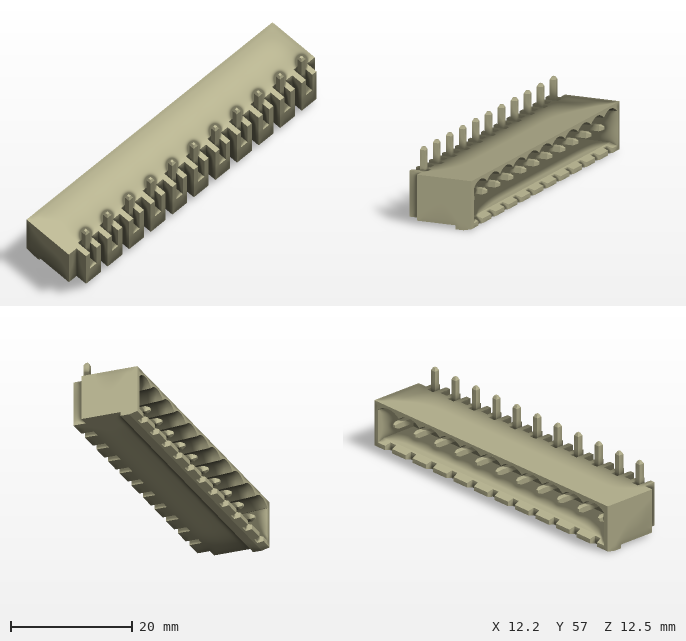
import cadquery as cq

pin_count = 11
body_length = 57.0
pitch = 5.0
body_depth = 10.0
body_height = 7.85
overall_depth = 12.2
pin_positions = [(i - (pin_count - 1) / 2) * pitch for i in range(pin_count)]

foot_depth = 2.95
foot_drop = 0.7
foot_front_drop = 0.35
foot_slope_end = 1.4

pocket_depth = 8.0
end_wall = 0.9
floor_level = 0.9
roof_crown = 7.4
roof_cusp = 6.45
roof_taper = 0.45
lip_depth = 1.35
lip_drop = 0.45

notch_back_width = 1.35
notch_mouth_width = 1.7
notch_depth = 1.0

tooth_width = 3.4
slot_width = 1.5
slot_start = 9.3

pin_width = 0.95
pin_level = 3.95
pin_rise = 3.95
pin_front = 1.2
pin_back = 10.9
front_point_length = 0.7
tail_point_length = 0.5
point_width = 0.45

collar_base_radius = 1.25
collar_top_radius = 0.95
collar_height = 0.55


def box(x_range, y_range, z_range):
    """Block between the given limits."""
    size = [high - low for low, high in (x_range, y_range, z_range)]
    corner = (x_range[0], y_range[0], z_range[0])
    return cq.Workplane("XY").box(*size, centered=False).translate(corner)


def across(center, width):
    """Limits of a width centred on a position."""
    return (center - width / 2, center + width / 2)


def make_shell():
    profile = [
        (0, -foot_front_drop),
        (foot_slope_end, -foot_drop),
        (foot_depth, -foot_drop),
        (foot_depth, 0),
        (body_depth, 0),
        (body_depth, body_height),
        (0, body_height),
    ]
    return (
        cq.Workplane("XZ")
        .polyline(profile)
        .close()
        .extrude(body_length / 2, both=True)
    )


def pocket_outline(depth, roof_shift):
    """Closed pocket section at a depth, its arched roof lowered by roof_shift."""
    half_width = body_length / 2 - end_wall
    crown = roof_crown - roof_shift
    cusp = roof_cusp - roof_shift
    first_cusp = pin_positions[0] - pitch / 2
    outline = (
        cq.Workplane("YZ", origin=(depth, 0, 0))
        .moveTo(-half_width, floor_level)
        .lineTo(-half_width, cusp)
        .lineTo(first_cusp, cusp)
    )
    for y in pin_positions:
        outline = outline.threePointArc((y, crown), (y + pitch / 2, cusp))
    return outline.lineTo(half_width, cusp).lineTo(half_width, floor_level).close()


def make_pocket():
    mouth = pocket_outline(0, 0).val()
    back = pocket_outline(pocket_depth, roof_taper).val()
    return cq.Workplane(cq.Solid.makeLoft([mouth, back], True))


def make_lip_bevel():
    profile = [(0, floor_level), (0, floor_level - lip_drop), (lip_depth, floor_level)]
    return (
        cq.Workplane("XZ")
        .polyline(profile)
        .close()
        .extrude(body_length / 2 - end_wall, both=True)
    )


def make_point(plane, length):
    """Blunt pyramid that ends a pin, grown from the given plane."""
    return (
        cq.Workplane(plane)
        .rect(pin_width, pin_width)
        .workplane(offset=length)
        .rect(point_width, point_width)
        .loft(combine=True)
    )


def make_pin(y):
    y_range = across(y, pin_width)
    z_range = across(pin_level, pin_width)
    front_shoulder = pin_front + front_point_length
    tail_shoulder = body_height + pin_rise - tail_point_length
    tail_front = pin_back - pin_width
    blade = box((front_shoulder, pin_back), y_range, z_range)
    tail = box((tail_front, pin_back), y_range, (z_range[0], tail_shoulder))
    front_plane = cq.Plane((front_shoulder, y, pin_level), xDir=(0, 1, 0), normal=(-1, 0, 0))
    tail_plane = cq.Plane((pin_back - pin_width / 2, y, tail_shoulder))
    front_point = make_point(front_plane, front_point_length)
    tail_point = make_point(tail_plane, tail_point_length)
    return blade.union(tail).union(front_point).union(tail_point)


def make_notch(y):
    mouth_low, mouth_high = across(y, notch_mouth_width)
    back_low, back_high = across(y, notch_back_width)
    profile = [
        (0, mouth_low),
        (notch_depth, back_low),
        (notch_depth, back_high),
        (0, mouth_high),
    ]
    return (
        cq.Workplane("XY", origin=(0, 0, -foot_drop))
        .polyline(profile)
        .close()
        .extrude(foot_drop + floor_level)
    )


def make_collar(y):
    axis_start = cq.Vector(pocket_depth, y, pin_level)
    cone = cq.Solid.makeCone(
        collar_base_radius, collar_top_radius, collar_height, axis_start, cq.Vector(-1, 0, 0)
    )
    return cq.Workplane(cone)


def make_tooth(y):
    return box((body_depth, overall_depth), across(y, tooth_width), (0, body_height))


def make_slot(y):
    slot_bottom = pin_level - pin_width / 2
    return box((slot_start, overall_depth), across(y, slot_width), (slot_bottom, body_height))


result = make_shell().cut(make_pocket()).cut(make_lip_bevel())

for pin_y in pin_positions:
    result = result.union(make_tooth(pin_y))
    result = result.cut(make_slot(pin_y)).cut(make_notch(pin_y))
    result = result.union(make_collar(pin_y)).union(make_pin(pin_y))